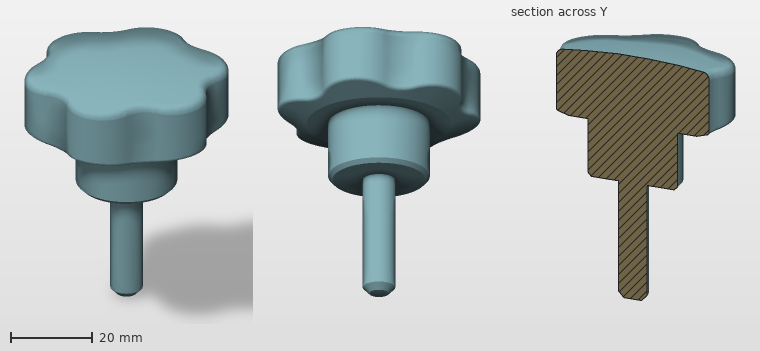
import cadquery as cq
import math

total_height = 62.95
hub_bottom = 30.0
head_bottom = 44.75

stud_diameter = 8.0
stud_chamfer = 1.6
hub_diameter = 25.0
hub_chamfer = 1.0

lobe_count = 6
head_diameter = 50.7
lobe_offset = 16.0
valley_radius = 8.0
dome_radius = 159.9
top_fillet = 2.0
underside_flat_diameter = 35.5
underside_angle = 16.0
underside_fillet = 0.8

lobe_radius = head_diameter / 2 - lobe_offset
half_pitch = math.pi / lobe_count
arc_center_gap = lobe_radius + valley_radius
valley_offset = lobe_offset * math.cos(half_pitch) + math.sqrt(
    arc_center_gap**2 - (lobe_offset * math.sin(half_pitch)) ** 2
)
valley_floor = valley_offset - valley_radius


def polar(radius, angle):
    return (radius * math.cos(angle), radius * math.sin(angle))


def tangent_point(lobe_angle, valley_angle):
    lobe_x, lobe_y = polar(lobe_offset, lobe_angle)
    valley_x, valley_y = polar(valley_offset, valley_angle)
    fraction = lobe_radius / arc_center_gap
    return (lobe_x + fraction * (valley_x - lobe_x), lobe_y + fraction * (valley_y - lobe_y))


def make_lobed_prism():
    first_lobe = math.pi / 2
    outline = cq.Workplane("XY", origin=(0, 0, head_bottom)).moveTo(
        *tangent_point(first_lobe, first_lobe - half_pitch)
    )
    for index in range(lobe_count):
        lobe = first_lobe + 2 * half_pitch * index
        valley = lobe + half_pitch
        next_lobe = valley + half_pitch
        outline = outline.threePointArc(polar(head_diameter / 2, lobe), tangent_point(lobe, valley))
        outline = outline.threePointArc(polar(valley_floor, valley), tangent_point(next_lobe, valley))
    return outline.close().extrude(total_height - head_bottom)


def make_underside_blank():
    """Revolved blank, wider than the lobes, with a conical rim under a flat center."""
    blank_radius = head_diameter / 2 + lobe_radius
    flat_radius = underside_flat_diameter / 2
    cone_rise = (blank_radius - flat_radius) * math.tan(math.radians(underside_angle))
    return (
        cq.Workplane("XZ")
        .moveTo(0, head_bottom)
        .lineTo(flat_radius, head_bottom)
        .lineTo(blank_radius, head_bottom + cone_rise)
        .lineTo(blank_radius, total_height)
        .lineTo(0, total_height)
        .close()
        .revolve(360, (0, 0, 0), (0, 1, 0))
    )


def make_dome_ball():
    ball = cq.Workplane("XY").sphere(dome_radius).rotate((0, 0, 0), (0, 1, 0), 90)
    return ball.translate((0, 0, total_height - dome_radius))


def make_head():
    head = make_lobed_prism().intersect(make_dome_ball())
    head = head.faces("%SPHERE").edges().fillet(top_fillet)
    head = head.intersect(make_underside_blank())
    return head.faces("%CONE").edges("not %CIRCLE").fillet(underside_fillet)


def make_hub():
    return (
        cq.Workplane("XY", origin=(0, 0, hub_bottom))
        .circle(hub_diameter / 2)
        .extrude(head_bottom - hub_bottom)
        .faces("<Z")
        .chamfer(hub_chamfer)
    )


def make_stud():
    return (
        cq.Workplane("XY")
        .circle(stud_diameter / 2)
        .extrude(hub_bottom)
        .faces("<Z")
        .chamfer(stud_chamfer)
    )


result = make_head().union(make_hub()).union(make_stud())